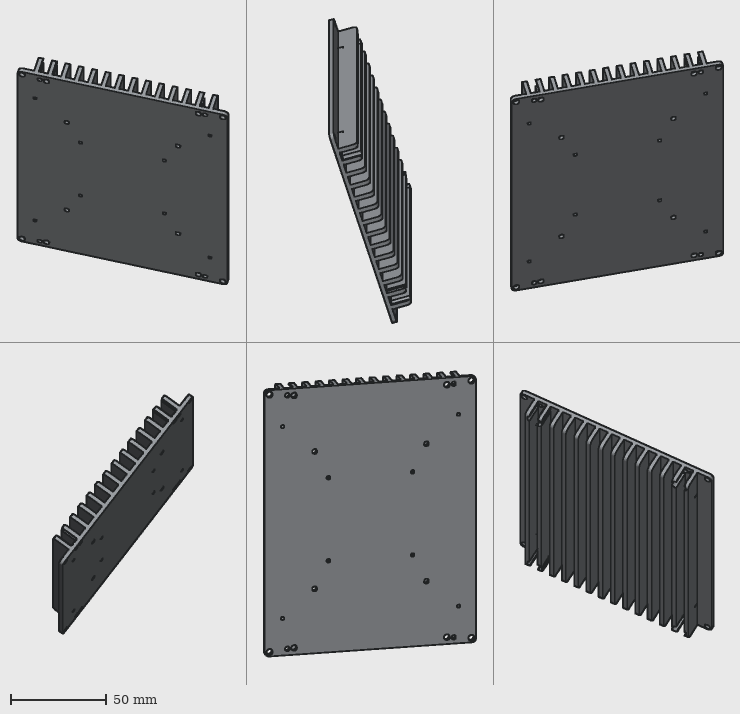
import cadquery as cq
import math

plate_width = 114.4
plate_height = 146.0
plate_thickness = 2.5
corner_radius = 2.5

total_depth = 12.7
fin_count = 14
fin_pitch = 7.3
fin_thickness = 2.5
fin_end_radius = 2.5

corner_hole = (54.6, 70.5, 3.2)
outer_edge_hole = (45.0, 69.5, 2.5)
inner_edge_hole = (41.3, 69.2, 3.0)
outer_mount_hole = (30.2, 37.7, 2.6)
inner_mount_hole = (22.8, 22.8, 1.9)
through_holes = [corner_hole, outer_edge_hole, inner_edge_hole, outer_mount_hole, inner_mount_hole]

outer_clearance_diameter = 5.0
inner_clearance_diameter = 5.3

blind_hole = (47.6, 52.6, 1.8)
blind_hole_depth = 5.0
drill_point_angle = 118.0


def make_plate():
    plate = cq.Workplane("XY").box(
        plate_width, plate_thickness, plate_height, centered=(True, False, True)
    )
    return plate.edges("|Y").fillet(corner_radius)


def make_fin(x):
    fin = cq.Workplane("XY").box(
        fin_thickness, total_depth, plate_height, centered=(True, False, True)
    )
    return fin.edges(">Y and |X").fillet(fin_end_radius).translate((x, 0, 0))


def quadrant_points(x, z):
    return [(side * x, end * z) for side in (-1, 1) for end in (-1, 1)]


def make_cylinders(x, z, diameter, start, end):
    """Four cylinders along Y, one per quadrant, from Y = start to Y = end."""
    plane = cq.Workplane("XZ", origin=(0, start, 0))
    return plane.pushPoints(quadrant_points(x, z)).circle(diameter / 2).extrude(start - end)


def make_pointed_drill(x, z, diameter, depth):
    """A solid of revolution along +Y: a cylinder closed by a cone."""
    radius = diameter / 2
    point_length = radius / math.tan(math.radians(drill_point_angle / 2))
    profile = [(0, 0), (radius, 0), (radius, depth), (0, depth + point_length)]
    drill = cq.Workplane("XY").polyline(profile).close().revolve(360, (0, 0, 0), (0, 1, 0))
    return drill.translate((x, 0, z))


result = make_plate()
first_fin_x = -fin_pitch * (fin_count - 1) / 2
for index in range(fin_count):
    result = result.union(make_fin(first_fin_x + index * fin_pitch))

for hole_x, hole_z, hole_diameter in through_holes:
    result = result.cut(make_cylinders(hole_x, hole_z, hole_diameter, 0, total_depth))

clearances = [
    (outer_edge_hole, outer_clearance_diameter),
    (inner_edge_hole, inner_clearance_diameter),
]
for (hole_x, hole_z, _), clearance_diameter in clearances:
    result = result.cut(
        make_cylinders(hole_x, hole_z, clearance_diameter, plate_thickness, total_depth)
    )

blind_x, blind_z, blind_diameter = blind_hole
for drill_x, drill_z in quadrant_points(blind_x, blind_z):
    result = result.cut(make_pointed_drill(drill_x, drill_z, blind_diameter, blind_hole_depth))